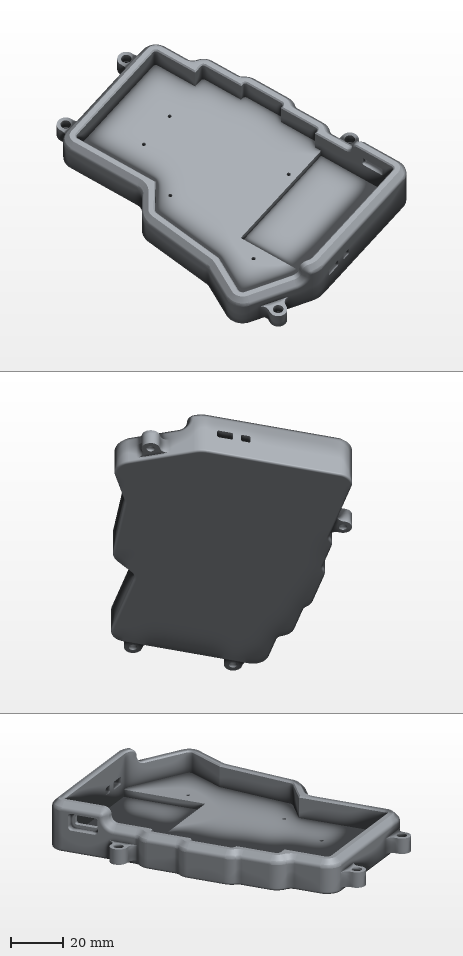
import cadquery as cq
import math

full_height = 20.0
rim_height = 14.0
wall = 5.0
floor_top = 5.0
recess_floor = 2.1
outer_chamfer = 2.5
chamfer_blend = 2.0
inner_chamfer = 0.5
bottom_round = 0.9
ramp_radius = (full_height - rim_height) / 2

left_x = wall
right_x = 116.8
front_y = wall
left_back_y = 57.8
shoulder_y = 62.7
crest_y = 64.9
right_back_y = 60.1
crest_left_x = 42.3
crest_right_x = 61.0
shoulder_left_x = 24.0
shoulder_right_x = 79.0
bend_corner = (right_x, 4.8)
front_bend = (43.0, front_y)
heel_corner = (51.6, -7.1)
waist_corner = (84.8, -11.4)
toe_corner = (101.8, -20.8)

small_round = 1.3
heel_round = 2.6
toe_round = 2.0
bend_round = 4.9
back_concave_round = 3.0
front_concave_round = 5.0

cavity_corners = [
    (left_x, front_y, small_round),
    (*front_bend, 0),
    (*heel_corner, heel_round),
    (*waist_corner, 0),
    (*toe_corner, toe_round),
    (*bend_corner, bend_round),
    (right_x, right_back_y, small_round),
    (shoulder_right_x, right_back_y, 0),
    (shoulder_right_x, shoulder_y, small_round),
    (crest_right_x, shoulder_y, 0),
    (crest_right_x, crest_y, small_round),
    (crest_left_x, crest_y, small_round),
    (crest_left_x, shoulder_y, 0),
    (shoulder_left_x, shoulder_y, small_round),
    (shoulder_left_x, left_back_y, 0),
    (left_x, left_back_y, small_round),
]

back_ramp_x = 96.2
bend_to_ramp = 5.0
slant_angle = math.degrees(
    math.atan2(bend_corner[1] - toe_corner[1], bend_corner[0] - toe_corner[0])
)
slant_normal = slant_angle - 90

recess_left_x = 82.0
recess_front_y = 7.1

pilot_diameter = 1.5
pilot_depth = floor_top - recess_floor
pilot_points = [(24.7, 40.1), (24.7, 23.0), (47.7, 8.4), (78.6, 43.5), (91.9, 1.7)]

ear_radius = 3.5
ear_reach = 4.0
ear_flare = 3.0
ear_bottom = 1.7
ear_top = 8.0
ear_root = 1.3
ear_hole = 3.2
ear_counterbore = 4.0
ear_counterbore_depth = 4.0
left_ear_ys = (11.5, 51.5)
back_ear_x = 89.1
bend_to_ear = 17.7

opening_round = 0.8
back_slot_x = 106.3
back_slot_z = 12.8
back_slot_size = (9.7, 3.9)
back_pocket_depth = 3.1
back_pocket_margin = 1.5
side_opening_z = 9.7
side_openings = [(21.2, (3.9, 3.1)), (12.9, (6.5, 3.2))]


def near(point):
    """Selector for the edge closest to a point."""
    return cq.selectors.NearestToPointSelector(point)


def along_slant(distance, outward=0.0):
    """Point on the slanted wall, measured from the bend corner and outward from the cavity."""
    direction = math.radians(slant_angle + 180)
    normal = math.radians(slant_normal)
    return (
        bend_corner[0] + distance * math.cos(direction) + outward * math.cos(normal),
        bend_corner[1] + distance * math.sin(direction) + outward * math.sin(normal),
    )


def cavity_prism(height):
    """Cavity outline raised to a height, with its convex corners rounded."""
    prism = cq.Workplane("XY").polyline([(x, y) for x, y, _ in cavity_corners]).close().extrude(height)
    for x, y, radius in cavity_corners:
        if radius > 0:
            prism = prism.edges("|Z").edges(near((x, y, height / 2))).fillet(radius)
    return prism


def body_prism():
    """Outer outline: the cavity outline grown by the wall, with its concave corners rounded."""
    outline = cavity_prism(full_height).faces("<Z").wires().vals()
    prism = cq.Workplane("XY").add(outline).toPending().offset2D(wall).extrude(full_height)
    back_concave = [
        (shoulder_left_x - wall, left_back_y + wall),
        (crest_left_x - wall, shoulder_y + wall),
        (crest_right_x + wall, shoulder_y + wall),
        (shoulder_right_x + wall, right_back_y + wall),
    ]
    front_concave = [
        (front_bend[0] - wall / 2, front_bend[1] - wall),
        (waist_corner[0] - wall / 3, waist_corner[1] - wall),
    ]
    for points, radius in ((back_concave, back_concave_round), (front_concave, front_concave_round)):
        for x, y in points:
            prism = prism.edges("|Z").edges(near((x, y, full_height / 2))).fillet(radius)
    return prism


def rim_envelope():
    """Large region under the rim: full height at the right back, ramping in an S down to the low rim."""
    far = 2 * right_x
    ramp = (
        cq.Workplane("XZ")
        .moveTo(-ramp_radius, rim_height)
        .radiusArc((0, rim_height + ramp_radius), -ramp_radius)
        .radiusArc((ramp_radius, full_height), ramp_radius)
        .lineTo(far, full_height)
        .lineTo(far, 0)
        .lineTo(-ramp_radius, 0)
        .close()
        .extrude(far / 2, both=True)
    )
    back_side = ramp.translate((back_ramp_x, 0, 0))
    ramp_x, ramp_y = along_slant(bend_to_ramp)
    slant_side = ramp.rotate((0, 0, 0), (0, 0, 1), slant_angle).translate((ramp_x, ramp_y, 0))
    low_slab = cq.Workplane("XY").rect(far * 2, far * 2).extrude(rim_height)
    return back_side.intersect(slant_side).union(low_slab)


def shaped_body():
    """Solid body with ramps, chamfered rim and rounded underside."""
    body = body_prism().intersect(rim_envelope())
    mid_y = (left_back_y + front_y) / 2
    body = body.edges(near((0, mid_y, rim_height))).chamfer(outer_chamfer)
    body = body.edges(near((0, mid_y, rim_height - outer_chamfer))).fillet(chamfer_blend)
    return body.edges(near((0, mid_y, 0))).fillet(bottom_round)


def cut_cavity(body):
    """Hollow the body, break the inner rim edge and sink the recessed floor area."""
    body = body.cut(cavity_prism(full_height).translate((0, 0, floor_top)))
    run_points = [
        (left_x, (left_back_y + front_y) / 2),
        ((shoulder_left_x + crest_left_x) / 2, shoulder_y),
        ((crest_left_x + crest_right_x) / 2, crest_y),
        ((crest_right_x + shoulder_right_x) / 2, shoulder_y),
        ((shoulder_right_x + back_ramp_x) / 2, right_back_y),
        ((heel_corner[0] + waist_corner[0]) / 2, (heel_corner[1] + waist_corner[1]) / 2),
    ]
    seeds = body.edges(near((*run_points[0], rim_height)))
    for x, y in run_points[1:]:
        seeds = seeds.add(body.edges(near((x, y, rim_height))))
    body = seeds.chamfer(inner_chamfer)
    recess = cq.Workplane("XY").box(
        right_x - recess_left_x, right_back_y - recess_front_y, floor_top - recess_floor, centered=False
    )
    recess = recess.edges(">X and >Y").fillet(small_round)
    return body.cut(recess.translate((recess_left_x, recess_front_y, recess_floor)))


def ear():
    """Ear reaching out along +X from a wall at X = 0, with flared root."""
    half_root = ear_radius + ear_flare
    outline = (
        cq.Workplane("XY")
        .moveTo(-ear_root, -half_root)
        .lineTo(0, -half_root)
        .radiusArc((ear_flare, -ear_radius), ear_flare)
        .lineTo(ear_reach, -ear_radius)
        .radiusArc((ear_reach, ear_radius), -ear_radius)
        .lineTo(ear_flare, ear_radius)
        .radiusArc((0, half_root), ear_flare)
        .lineTo(-ear_root, half_root)
        .close()
    )
    return outline.extrude(ear_top - ear_bottom).translate((0, 0, ear_bottom))


def ear_hole_cutter():
    """Stepped screw hole of an ear, in the place of that ear."""
    through = cq.Workplane("XY").circle(ear_hole / 2).extrude(ear_top)
    counterbore = cq.Workplane("XY").circle(ear_counterbore / 2).extrude(ear_counterbore_depth)
    counterbore = counterbore.translate((0, 0, ear_top - ear_counterbore_depth))
    return through.union(counterbore).translate((ear_reach, 0, 0))


def place(shape, x, y, angle):
    """Turn a shape about Z and move it to a wall point."""
    return shape.rotate((0, 0, 0), (0, 0, 1), angle).translate((x, y, 0))


def add_ears(body):
    """Mounting ears on the left, back and slanted walls."""
    spots = [(0, y, 180) for y in left_ear_ys]
    spots.append((back_ear_x, right_back_y + wall, 90))
    spots.append((*along_slant(bend_to_ear, wall), slant_normal))
    for spot in spots:
        body = body.union(place(ear(), *spot))
        body = body.cut(place(ear_hole_cutter(), *spot))
    return body


def rounded_slot(size, depth, corner_round):
    """Slot running along +X from X = 0, centered on the X axis, with rounded corners."""
    return cq.Workplane("YZ").rect(*size).extrude(depth).edges("|X").fillet(corner_round)


def cut_openings(body):
    """Connector openings in the raised walls; the back one has a wider pocket on the outside."""
    pocket_size = [side + 2 * back_pocket_margin for side in back_slot_size]
    pocket = rounded_slot(pocket_size, back_pocket_depth, back_pocket_margin)
    back_slot = rounded_slot(back_slot_size, wall, opening_round).union(
        pocket.translate((wall - back_pocket_depth, 0, 0))
    )
    body = body.cut(place(back_slot, back_slot_x, right_back_y, 90).translate((0, 0, back_slot_z)))
    for y, size in side_openings:
        side_slot = rounded_slot(size, wall, opening_round)
        body = body.cut(side_slot.translate((right_x, y, side_opening_z)))
    return body


def drill_pilots(body):
    """Blind pilot holes in the cavity floor."""
    pilots = (
        cq.Workplane("XY", origin=(0, 0, floor_top - pilot_depth))
        .pushPoints(pilot_points)
        .circle(pilot_diameter / 2)
        .extrude(pilot_depth)
    )
    return body.cut(pilots)


result = drill_pilots(cut_openings(add_ears(cut_cavity(shaped_body()))))